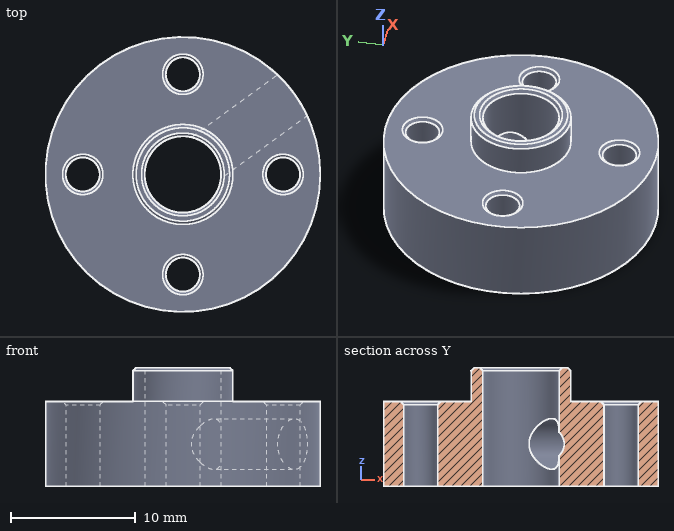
import cadquery as cq

flange_diameter = 22.0
total_height = 9.5
hub_diameter = 8.0
hub_height = 2.7
flange_height = total_height - hub_height
hub_edge_chamfer = 0.26

bore_diameter = 6.1
bore_edge_chamfer = 0.26

bolt_count = 4
bolt_hole_diameter = 2.7
bolt_circle_radius = hub_diameter
bolt_edge_chamfer = 0.26


def chamfered_hole(diameter, chamfer, top):
    """Cutter for a vertical through hole with a 45 degree chamfer at its top edge."""
    radius = diameter / 2
    profile = [
        (0, 0),
        (radius, 0),
        (radius, top - chamfer),
        (radius + chamfer, top),
        (0, top),
    ]
    return cq.Workplane("XZ").polyline(profile).close().revolve(360, (0, 0), (0, 1))


flange = cq.Workplane("XY").circle(flange_diameter / 2).extrude(flange_height)

hub = (
    cq.Workplane("XY")
    .circle(hub_diameter / 2)
    .extrude(total_height)
    .faces(">Z")
    .edges()
    .chamfer(hub_edge_chamfer)
)
result = flange.union(hub)

result = result.cut(chamfered_hole(bore_diameter, bore_edge_chamfer, total_height))

bolt_hole = chamfered_hole(bolt_hole_diameter, bolt_edge_chamfer, flange_height)
bolt_hole = bolt_hole.translate((bolt_circle_radius, 0, 0))
for index in range(bolt_count):
    angle = index * 360 / bolt_count
    result = result.cut(bolt_hole.rotate((0, 0, 0), (0, 0, 1), angle))

radial_hole_diameter = 4.05
radial_hole_angle = 36
radial_hole = (
    cq.Workplane("YZ")
    .center(0, flange_height / 2)
    .circle(radial_hole_diameter / 2)
    .extrude(flange_diameter)
    .rotate((0, 0, 0), (0, 0, 1), radial_hole_angle)
)
result = result.cut(radial_hole)